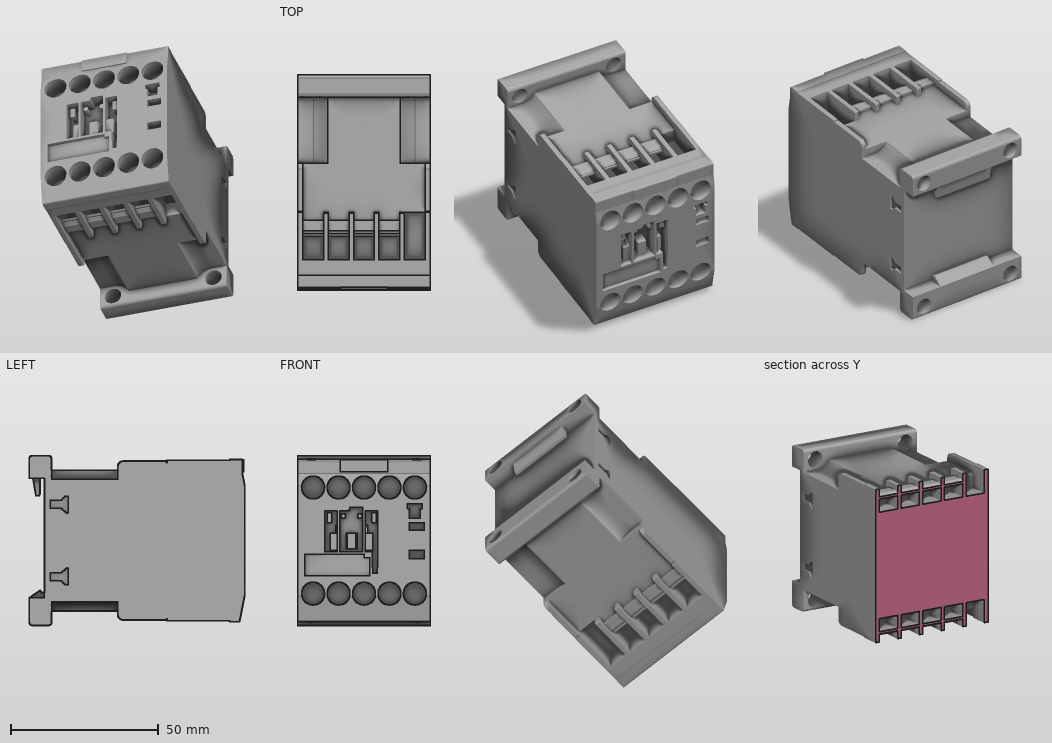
import cadquery as cq
import math

WIDTH = 45.0
DEPTH = 73.0
HEIGHT = 57.5

COVER_BACK = 5.1
BAY_FRONT = 10.3
HOUSING_BACK = 26.4
WALLS_BACK = 43.1
FOOT_FRONT = 65.4
RAIL_FACE = 67.9

COVER_HALF = 27.5
HOUSING_HALF = 27.2
WALL_HALF = 26.95
CORE_HALF = 23.9
LEDGE_HALF = 20.8
NOSE_HALF = 18.6

UPPER_FOOT_UNDERSIDE = 21.0
LOWER_FOOT_TOP = -19.4
FOOT_ROUND = 1.1
MOUNT_HOLE_RADIUS = 2.9
MOUNT_HOLE_X = 17.9
MOUNT_HOLE_Z = 24.75
HOOK_WIDTH = 21.9

SIDE_WALL = 1.7
WALL_ROUND = 2.0
SEAM_CHAMFER = 0.45
GROOVE_INNER_X = 12.3
GROOVE_OUTER_X = 17.2

POLE_PITCH = 8.6
RIB_X = [POLE_PITCH * step for step in (-1.5, -0.5, 0.5, 1.5)]
RIB_WIDTH = 1.5
RIB_CHAMFER = 0.3
BAY_FLOOR = 19.0
LIP_FRONT = 18.4
LIP_BOTTOM = 23.4
LIP_TOP = 24.15
CLAMP_FRONT = 19.1
CLAMP_CHAMFER_DROP = 0.7
CLAMP_CHAMFER_LENGTH = 1.1
CLAMP_BACK = 23.7
CLAMP_TOP = 25.2

TOP_STRIP_SETBACK = 0.8
TOP_STRIP_BOTTOM = 22.8
LOWER_EDGE_SETBACK = 1.75
COVER_ROUND = 0.6
SCREW_HOLE_RADIUS = 3.9
SCREW_HOLE_DEPTH = 8.75
SCREW_HOLE_Z = 17.95
PLATE_WIDTH = 16.05
PLATE_BOTTOM = 23.2
PLATE_TOP = 27.4
PLATE_FRONT = 0.3
PLATE_BACK = 1.7

SLOT_DEPTH = 5.55
LABEL_DEPTH = 1.4
LEVER_SETBACK = 1.75
SLOT_TOP = 10.15
SLOT_BOTTOM = -3.8
SLOT_ROUND = 0.45
LEVER_TOP = 2.4
LEVER_BOTTOM = -3.3
RAMP_TOP = 5.2
TAB_BOTTOM = 6.0
TAB_TOP = 9.35
PIN_Z = 8.3
PIN_RADIUS = 0.8

LATCH_DEPTH = 1.0


def box(x0, x1, y0, y1, z0, z1):
    """Box between two opposite corners."""
    return cq.Workplane("XY").box(x1 - x0, y1 - y0, z1 - z0, centered=False).translate((x0, y0, z0))


def slab(y0, y1, z0, z1):
    """Full-width box."""
    return box(-WIDTH / 2, WIDTH / 2, y0, y1, z0, z1)


def side_profile(points, x0, x1):
    """Prism along X from (y, z) points."""
    return cq.Workplane("YZ", origin=(x0, 0, 0)).polyline(points).close().extrude(x1 - x0)


def front_profile(points, y0, y1):
    """Prism along Y from (x, z) points."""
    return cq.Workplane("XZ", origin=(0, y0, 0)).polyline(points).close().extrude(y0 - y1)


def front_cylinder(x, z, radius, y0, y1):
    return cq.Workplane("XZ", origin=(x, y0, z)).circle(radius).extrude(y0 - y1)


def with_mirror(shape, plane):
    return shape.union(shape.mirror(plane))


def make_cover():
    """Front cover with a set-back top strip and a sloped lower edge."""
    outline = [
        (COVER_BACK, COVER_HALF),
        (TOP_STRIP_SETBACK, COVER_HALF),
        (TOP_STRIP_SETBACK, TOP_STRIP_BOTTOM),
        (0, NOSE_HALF),
        (0, -NOSE_HALF),
        (LOWER_EDGE_SETBACK, -COVER_HALF),
        (COVER_BACK, -COVER_HALF),
    ]
    cover = side_profile(outline, -WIDTH / 2, WIDTH / 2)
    top_edge = cq.selectors.NearestToPointSelector((0, TOP_STRIP_SETBACK, COVER_HALF))
    bottom_edge = cq.selectors.NearestToPointSelector((0, LOWER_EDGE_SETBACK, -COVER_HALF))
    cover = cover.edges(top_edge).fillet(COVER_ROUND).edges(bottom_edge).fillet(COVER_ROUND)
    plate = box(-PLATE_WIDTH / 2, PLATE_WIDTH / 2, PLATE_FRONT, PLATE_BACK, PLATE_BOTTOM, PLATE_TOP)
    return cover.union(plate)


def make_side_wall():
    """Thin wall on the -X side, rounded at the back and chamfered at the housing seam."""
    wall = box(-WIDTH / 2, SIDE_WALL - WIDTH / 2, HOUSING_BACK, WALLS_BACK, -WALL_HALF, WALL_HALF)
    return wall.edges("|X and >Y").fillet(WALL_ROUND).edges("|X and <Y").chamfer(SEAM_CHAMFER)


def make_corner_groove():
    """Cutter that lowers the +X upper corner behind the side wall, ending in a concave arc."""
    run = GROOVE_OUTER_X - GROOVE_INNER_X
    drop = CORE_HALF - LEDGE_HALF
    radius = (run**2 + drop**2) / (2 * drop)
    half_sweep = math.atan2(drop, run)
    arc_mid = (
        GROOVE_OUTER_X - radius * math.sin(half_sweep),
        LEDGE_HALF + radius * (1 - math.cos(half_sweep)),
    )
    return (
        cq.Workplane("XZ", origin=(0, WALLS_BACK, 0))
        .moveTo(GROOVE_INNER_X, CORE_HALF)
        .threePointArc(arc_mid, (GROOVE_OUTER_X, LEDGE_HALF))
        .lineTo(WIDTH / 2, LEDGE_HALF)
        .lineTo(WIDTH / 2, CORE_HALF)
        .close()
        .extrude(WALLS_BACK - FOOT_FRONT)
    )


def make_feet():
    """Two mounting feet, rounded on their outer edges."""
    upper = slab(FOOT_FRONT, DEPTH, UPPER_FOOT_UNDERSIDE, HEIGHT / 2)
    lower = slab(FOOT_FRONT, DEPTH, -HEIGHT / 2, LOWER_FOOT_TOP)
    return upper.edges("|X and >Z").fillet(FOOT_ROUND).union(lower.edges("|X and <Z").fillet(FOOT_ROUND))


def make_mount_holes():
    """Through holes at the four corners of the feet."""
    cutters = cq.Workplane("XZ")
    for x in (-MOUNT_HOLE_X, MOUNT_HOLE_X):
        for z in (-MOUNT_HOLE_Z, MOUNT_HOLE_Z):
            cutters = cutters.union(front_cylinder(x, z, MOUNT_HOLE_RADIUS, FOOT_FRONT, DEPTH))
    return cutters


def make_rail_hooks():
    """Tapered finger below the upper foot and wedge above the lower foot."""
    finger = [
        (69.3, UPPER_FOOT_UNDERSIDE),
        (71.75, UPPER_FOOT_UNDERSIDE),
        (70.75, 15.1),
        (69.7, 15.1),
        (69.3, 15.9),
    ]
    wedge = [
        (RAIL_FACE, LOWER_FOOT_TOP),
        (DEPTH, LOWER_FOOT_TOP),
        (69.3, -16.85),
        (68.85, -17.5),
        (RAIL_FACE, -17.5),
    ]
    hooks = side_profile(finger, -HOOK_WIDTH / 2, HOOK_WIDTH / 2)
    return hooks.union(side_profile(wedge, -HOOK_WIDTH / 2, HOOK_WIDTH / 2))


def make_bay_openings():
    """Upper row of open terminal bays: one pocket between the side walls."""
    inner = WIDTH / 2 - SIDE_WALL
    return box(-inner, inner, BAY_FRONT, HOUSING_BACK, BAY_FLOOR, HOUSING_HALF)


def make_bay_fittings():
    """Ribs between the upper bays and the clamp strip in the four bays on the -X side."""
    clamp = [
        (HOUSING_BACK, LIP_BOTTOM),
        (LIP_FRONT, LIP_BOTTOM),
        (LIP_FRONT, LIP_TOP),
        (CLAMP_FRONT, LIP_TOP),
        (CLAMP_FRONT, CLAMP_TOP - CLAMP_CHAMFER_DROP),
        (CLAMP_FRONT + CLAMP_CHAMFER_LENGTH, CLAMP_TOP),
        (CLAMP_BACK, CLAMP_TOP),
        (CLAMP_BACK, CORE_HALF),
        (HOUSING_BACK, CORE_HALF),
    ]
    fittings = side_profile(clamp, SIDE_WALL - WIDTH / 2, RIB_X[-1])
    for x in RIB_X:
        rib = box(x - RIB_WIDTH / 2, x + RIB_WIDTH / 2, BAY_FRONT, HOUSING_BACK, BAY_FLOOR, HOUSING_HALF)
        fittings = fittings.union(rib.edges("|X and >Y and >Z").chamfer(RIB_CHAMFER))
    return fittings


def make_screw_holes():
    """Two rows of five blind screwdriver holes."""
    cutters = cq.Workplane("XZ")
    for column in range(-2, 3):
        for z in (-SCREW_HOLE_Z, SCREW_HOLE_Z):
            hole = front_cylinder(column * POLE_PITCH, z, SCREW_HOLE_RADIUS, 0, SCREW_HOLE_DEPTH)
            cutters = cutters.union(hole)
    return cutters


def make_face_recesses():
    """Label field, three mechanism slots and the openings near the +X edge."""
    label = [(-20.0, -12.0), (1.9, -12.0), (1.9, -5.8), (0.15, -5.8), (0.15, -4.6), (-20.0, -4.6)]
    left_slot = [(-13.3, SLOT_BOTTOM), (-9.05, SLOT_BOTTOM), (-9.05, SLOT_TOP), (-13.3, SLOT_TOP)]
    middle_slot = [
        (-8.25, SLOT_BOTTOM),
        (-0.4, SLOT_BOTTOM),
        (-0.4, 11.3),
        (-4.9, 11.3),
        (-4.9, SLOT_TOP),
        (-8.25, SLOT_TOP),
    ]
    right_slot = [
        (0.4, SLOT_BOTTOM),
        (2.8, SLOT_BOTTOM),
        (2.8, -7.3),
        (3.0, -11.1),
        (4.45, -11.1),
        (4.7, -7.3),
        (4.7, SLOT_TOP),
        (0.4, SLOT_TOP),
    ]
    tee = [
        (14.6, 10.7),
        (15.4, 10.7),
        (15.4, 7.6),
        (19.0, 7.6),
        (19.0, 10.7),
        (19.8, 10.7),
        (19.8, 12.5),
        (14.6, 12.5),
    ]
    cutters = front_profile(label, 0, LABEL_DEPTH)
    upper_corners = cq.selectors.BoxSelector(
        (-WIDTH / 2, -DEPTH, SLOT_TOP - SLOT_ROUND),
        (WIDTH / 2, DEPTH, HEIGHT / 2),
    )
    for outline in (left_slot, middle_slot, right_slot):
        slot = front_profile(outline, 0, SLOT_DEPTH)
        cutters = cutters.union(slot.edges("|Y").edges(upper_corners).fillet(SLOT_ROUND))
    cutters = cutters.union(front_profile(tee, 0, SLOT_DEPTH))
    for z0, z1 in ((3.4, 6.05), (-6.1, -3.2)):
        cutters = cutters.union(box(15.4, 20.4, 0, SLOT_DEPTH, z0, z1))
    return cutters


def make_slot_fittings():
    """Levers, ramps, tabs, pins and the button that stand on the slot floors."""
    fittings = cq.Workplane("XZ")
    ramp = [(SLOT_DEPTH, LEVER_TOP), (LEVER_SETBACK, LEVER_TOP), (SLOT_DEPTH, RAMP_TOP)]
    for x0, x1 in ((-11.4, -9.05), (0.4, 2.9)):
        lever = box(x0, x1, LEVER_SETBACK, SLOT_DEPTH, LEVER_BOTTOM, LEVER_TOP)
        fittings = fittings.union(lever)
    for x0, x1 in ((-9.6, -9.05), (0.4, 1.3)):
        fittings = fittings.union(side_profile(ramp, x0, x1))
    for x0, x1 in ((-12.4, -10.95), (2.55, 4.1)):
        fittings = fittings.union(box(x0, x1, LEVER_SETBACK, SLOT_DEPTH, TAB_BOTTOM, TAB_TOP))
    for x in (-7.0, -1.4):
        fittings = fittings.union(front_cylinder(x, PIN_Z, PIN_RADIUS, LEVER_SETBACK, SLOT_DEPTH))
    button_bottom = -2.8
    button = [(-6.05, SLOT_DEPTH), (-5.6, LEVER_SETBACK), (-2.8, LEVER_SETBACK), (-2.3, SLOT_DEPTH)]
    button_outline = cq.Workplane("XY", origin=(0, 0, button_bottom)).polyline(button).close()
    return fittings.union(button_outline.extrude(LEVER_TOP - button_bottom))


def make_side_latch():
    """Upper latch recess in the -X face: a straight neck that flares toward the front."""
    outline = [
        (65.9, 13.6),
        (62.3, 13.6),
        (60.9, 15.0),
        (59.7, 15.0),
        (59.7, 9.5),
        (60.2, 9.3),
        (62.3, 10.95),
        (65.9, 10.95),
    ]
    return side_profile(outline, -WIDTH / 2, LATCH_DEPTH - WIDTH / 2)


body = slab(HOUSING_BACK, RAIL_FACE, -CORE_HALF, CORE_HALF)
body = body.cut(with_mirror(with_mirror(make_corner_groove(), "YZ"), "XY"))
body = body.union(with_mirror(make_side_wall(), "YZ"))
body = body.union(slab(COVER_BACK, HOUSING_BACK, -HOUSING_HALF, HOUSING_HALF))
body = body.union(make_cover()).union(make_feet()).union(make_rail_hooks())
body = body.cut(make_mount_holes())

body = body.cut(with_mirror(make_bay_openings(), "XY"))
body = body.union(with_mirror(make_bay_fittings(), "XY"))

body = body.cut(make_screw_holes()).cut(make_face_recesses()).union(make_slot_fittings())
result = body.cut(with_mirror(with_mirror(make_side_latch(), "XY"), "YZ"))